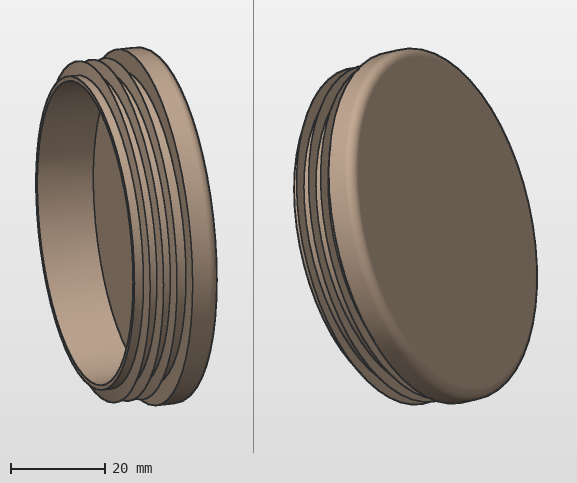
import cadquery as cq


head_radius = 76.1 / 2
head_thickness = 6.0
head_edge_radius = 2.0

total_length = 17.5
plug_radius = 33.5
plug_wall = 1.0
bore_radius = plug_radius - plug_wall
floor_thickness = 5.0
bore_depth = total_length - floor_thickness

fin_count = 3
fin_pitch = 3.0
fin_tip_radius = 36.5
fin_root_width = 0.5
first_fin_offset = 2.0


def cylinder_along_y(radius, start, length):
    """Solid cylinder on the Y axis, running from start toward +Y."""
    return cq.Workplane("XZ", origin=(0, start, 0)).circle(radius).extrude(-length)


def make_head():
    """Flange disc with a rounded outer edge on its closed side."""
    disc = cylinder_along_y(head_radius, total_length - head_thickness, head_thickness)
    return disc.faces(">Y").edges().fillet(head_edge_radius)


def make_fin(root_start):
    """Ring with a flat face toward the head, tapering to a sharp rim on the other face."""
    flat_face = root_start + fin_root_width
    section = [
        (bore_radius, root_start),
        (plug_radius, root_start),
        (fin_tip_radius, flat_face),
        (bore_radius, flat_face),
    ]
    return cq.Workplane("XY").polyline(section).close().revolve(360, (0, 0, 0), (0, 1, 0))


def make_cap():
    """Join head, plug and fins, then hollow the plug."""
    cap = make_head().union(cylinder_along_y(plug_radius, 0, total_length - head_thickness))
    for index in range(fin_count):
        cap = cap.union(make_fin(first_fin_offset + index * fin_pitch))
    return cap.cut(cylinder_along_y(bore_radius, 0, bore_depth))


result = make_cap()